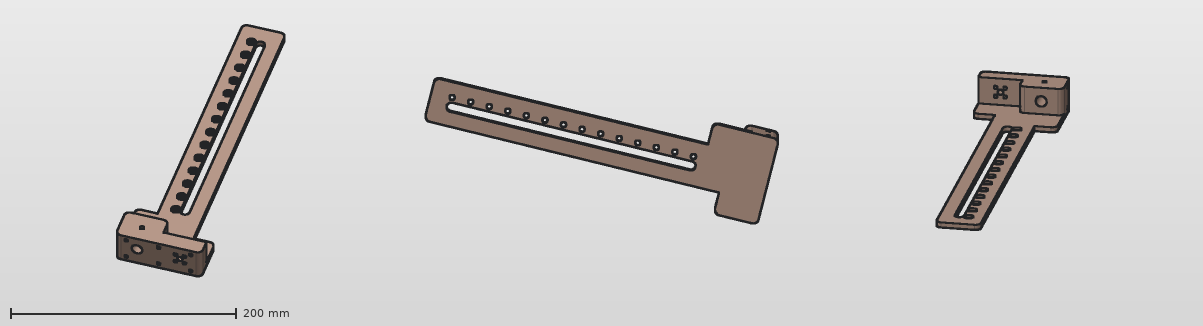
import cadquery as cq
import math

width = 80.0
length = 310.0
height = 30.0
mid_x = width / 2

plate_thickness = 5.0
arm_width = 40.0
arm_left = mid_x - arm_width / 2
arm_right = mid_x + arm_width / 2
left_shoulder_y = 60.0
right_shoulder_y = 40.0
corner_radius = 5.0

wall_depth = 15.0
block_depth = 30.0
block_width = mid_x

slot_x = 42.5
slot_width = 8.5
slot_start_y = 66.0
slot_end_y = 294.0

row_x = 33.8
row_count = 14
row_start_y = 70.0
row_span = 221.0
row_pitch = row_span / (row_count - 1)
row_hole_diameter = 4.5
counterbore_diameter = 8.0
counterbore_depth = plate_thickness / 2

bore_z = 17.0
bore_x = arm_left
bore_diameter = 10.0
pivot_x = width - bore_x
pivot_diameter = 5.0
pivot_screw_diameter = 3.0
pivot_screw_spacing = 8.5

screw_diameter = 3.0
screw_depth = 7.8
drill_point_angle = 118
screw_tip_length = screw_diameter / 2 / math.tan(math.radians(drill_point_angle / 2))
screw_edge_x = 10.0
screw_edge_y = 10.0
screw_edge_z = 5.0
screw_heights = (screw_edge_z, height - screw_edge_z)

set_screw_y = wall_depth
set_screw_diameter = 3.7


def hole_along_y(x, z, diameter, depth):
    """Cylinder running back from the front face."""
    return cq.Workplane("XZ").center(x, z).circle(diameter / 2).extrude(-depth)


def blind_screw_hole(entry, direction):
    """Drilled hole with a conical end, running from its entry point along the direction."""
    start = cq.Vector(*entry)
    along = cq.Vector(*direction)
    radius = screw_diameter / 2
    shank = cq.Solid.makeCylinder(radius, screw_depth, start, along)
    tip = cq.Solid.makeCone(radius, 0, screw_tip_length, start + along * screw_depth, along)
    return shank.fuse(tip)


def round_corner(body, x, y, radius):
    """Round the vertical edge nearest to the given corner."""
    return body.edges("|Z").edges(cq.NearestToPointSelector((x, y, 0))).fillet(radius)


def make_plate():
    plate = (
        cq.Workplane("XY")
        .moveTo(0, 0)
        .lineTo(width, 0)
        .lineTo(width, right_shoulder_y)
        .lineTo(arm_right, right_shoulder_y)
        .lineTo(arm_right, length)
        .lineTo(arm_left, length)
        .lineTo(arm_left, left_shoulder_y)
        .lineTo(0, left_shoulder_y)
        .close()
        .extrude(plate_thickness)
    )
    for x in (0, width):
        plate = round_corner(plate, x, 0, corner_radius)
    plate = round_corner(plate, 0, left_shoulder_y, corner_radius)
    plate = round_corner(plate, width, right_shoulder_y, corner_radius)
    for x in (arm_left, arm_right):
        plate = round_corner(plate, x, length, corner_radius)
    return plate


def make_upright():
    upright = (
        cq.Workplane("XY")
        .moveTo(0, 0)
        .lineTo(width, 0)
        .lineTo(width, wall_depth)
        .lineTo(block_width, wall_depth)
        .lineTo(block_width, block_depth)
        .lineTo(0, block_depth)
        .close()
        .extrude(height)
    )
    for x, y in ((0, 0), (width, 0), (0, block_depth), (block_width, block_depth)):
        upright = round_corner(upright, x, y, corner_radius)
    return upright


def cut_slot(body):
    slot = (
        cq.Workplane("XY")
        .center(slot_x, (slot_start_y + slot_end_y) / 2)
        .slot2D(slot_end_y - slot_start_y, slot_width, 90)
        .extrude(plate_thickness)
    )
    return body.cut(slot)


def cut_hole_row(body):
    centers = [(row_x, row_start_y + i * row_pitch) for i in range(row_count)]
    holes = (
        cq.Workplane("XY")
        .pushPoints(centers)
        .circle(row_hole_diameter / 2)
        .extrude(plate_thickness)
    )
    counterbores = (
        cq.Workplane("XY", origin=(0, 0, plate_thickness - counterbore_depth))
        .pushPoints(centers)
        .circle(counterbore_diameter / 2)
        .extrude(counterbore_depth)
    )
    return body.cut(holes).cut(counterbores)


def cut_bores(body):
    body = body.cut(hole_along_y(bore_x, bore_z, bore_diameter, block_depth))
    body = body.cut(hole_along_y(pivot_x, bore_z, pivot_diameter, wall_depth))
    half_spacing = pivot_screw_spacing / 2
    for dx in (-half_spacing, half_spacing):
        for dz in (-half_spacing, half_spacing):
            screw = hole_along_y(pivot_x + dx, bore_z + dz, pivot_screw_diameter, wall_depth)
            body = body.cut(screw)
    return body


def cut_screw_holes(body):
    for z in screw_heights:
        for x in (screw_edge_x, mid_x, width - screw_edge_x):
            body = body.cut(blind_screw_hole((x, 0, z), (0, 1, 0)))
        body = body.cut(blind_screw_hole((0, screw_edge_y, z), (1, 0, 0)))
    return body


def cut_set_screw_hole(body):
    hole = (
        cq.Workplane("XY", origin=(bore_x, set_screw_y, bore_z))
        .circle(set_screw_diameter / 2)
        .extrude(height - bore_z)
    )
    return body.cut(hole)


result = make_plate().union(make_upright())
result = cut_slot(result)
result = cut_hole_row(result)
result = cut_bores(result)
result = cut_screw_holes(result)
result = cut_set_screw_hole(result)